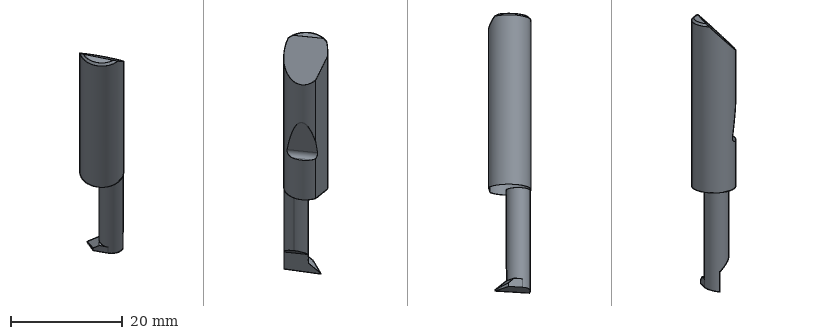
import cadquery as cq
import math

total_height = 50.8
shank_radius = 3.95
shank_bottom = 19.05
top_chamfer = 0.4
slant_start_y = -2.25

flat_span_angle = 53.0

notch_bottom = 27.85
notch_depth = 1.25
notch_angle = 10.0
notch_corner_radius = 0.9

neck_diameter = 4.4
neck_radius = neck_diameter / 2
neck_center_x = shank_radius - neck_radius
neck_flattening = 0.15
neck_relief_height = 4.05

tip_x = -2.75
tip_land = 0.2
tip_top = 2.2
tip_front_x = -0.95
flank_setback = 0.6
floor_rise_x = 0.04
floor_relief = 0.45

tip_front_y = -neck_radius
margin = 2.55


def prism_along_x(points):
    """Extrude an outline of (y, z) points right across the shank."""
    reach = shank_radius + margin
    return cq.Workplane("YZ").polyline(points).close().extrude(reach, both=True)


def ruled_tip_shape(face_points, front_points):
    """Join an (x, z) outline on y = 0 to one on the front of the tip."""
    return (
        cq.Workplane("XZ")
        .polyline(face_points).close()
        .workplane(offset=-tip_front_y)
        .polyline(front_points).close()
        .loft(ruled=True)
    )


def side_flat_cut():
    half_angle = flat_span_angle / 2
    distance = shank_radius * math.cos(math.radians(half_angle))
    return (
        cq.Workplane("XY")
        .workplane(offset=shank_bottom)
        .center(-distance - margin / 2, 0)
        .rect(margin, 2 * shank_radius)
        .extrude(total_height - shank_bottom)
        .rotate((0, 0, 0), (0, 0, 1), -half_angle)
    )


def slanted_top_cut():
    run = shank_radius + margin - slant_start_y
    return prism_along_x([
        (slant_start_y - margin, total_height + margin),
        (slant_start_y + run, total_height + margin),
        (slant_start_y + run, total_height - run),
    ])


def notch_cut():
    depth = notch_depth + margin
    inner_y = shank_radius - notch_depth
    slope = math.tan(math.radians(notch_angle))
    corner_height = notch_corner_radius * (1 + math.sin(math.radians(notch_angle)))
    corner_y = inner_y - notch_corner_radius * (1 - math.cos(math.radians(notch_angle)))
    corner_y -= corner_height * slope
    outer_y = corner_y + depth
    notch = prism_along_x([
        (corner_y, notch_bottom),
        (outer_y, notch_bottom),
        (outer_y, notch_bottom + depth / slope),
    ])
    return notch.edges("|X and <Y").fillet(notch_corner_radius)


def make_shank():
    shank = (
        cq.Workplane("XY")
        .workplane(offset=shank_bottom)
        .circle(shank_radius)
        .extrude(total_height - shank_bottom)
        .faces(">Z").chamfer(top_chamfer)
    )
    return shank.cut(side_flat_cut()).cut(slanted_top_cut()).cut(notch_cut())


def make_neck():
    diagonal = math.sqrt(0.5)
    flat_mid = (neck_radius - neck_flattening) * diagonal
    round_mid = neck_radius * diagonal
    neck = (
        cq.Workplane("XY")
        .center(neck_center_x, 0)
        .moveTo(-neck_radius, 0)
        .threePointArc((-flat_mid, flat_mid), (0, neck_radius))
        .threePointArc((round_mid, -round_mid), (-neck_radius, 0))
        .close()
        .extrude(shank_bottom)
    )
    reach = neck_radius + margin
    relief = prism_along_x([
        (0, -margin),
        (reach, -margin),
        (reach, neck_relief_height + reach),
        (0, neck_relief_height),
    ])
    return neck.cut(relief)


def make_tip():
    plan = (
        cq.Workplane("XY")
        .polyline([
            (tip_x, 0),
            (tip_front_x, tip_front_y),
            (neck_center_x, tip_front_y),
            (neck_center_x, 0),
        ])
        .close()
        .extrude(tip_top)
    )
    neck_left_x = neck_center_x - neck_radius
    flank = [
        (tip_x, 0),
        (tip_x, tip_land),
        (neck_left_x, tip_top),
        (shank_radius, tip_top),
        (shank_radius, 0),
    ]
    shifted_flank = [(x + flank_setback, z) for x, z in flank]
    return plan.intersect(ruled_tip_shape(flank, shifted_flank))


def floor_cut():
    left_x = tip_x - margin
    right_x = shank_radius + margin

    def outline(lift):
        return [
            (left_x, -margin),
            (right_x, -margin),
            (right_x, lift + floor_rise_x * (right_x - tip_x)),
            (left_x, lift + floor_rise_x * (left_x - tip_x)),
        ]

    return ruled_tip_shape(outline(0), outline(floor_relief))


result = make_shank().union(make_neck()).union(make_tip()).cut(floor_cut())